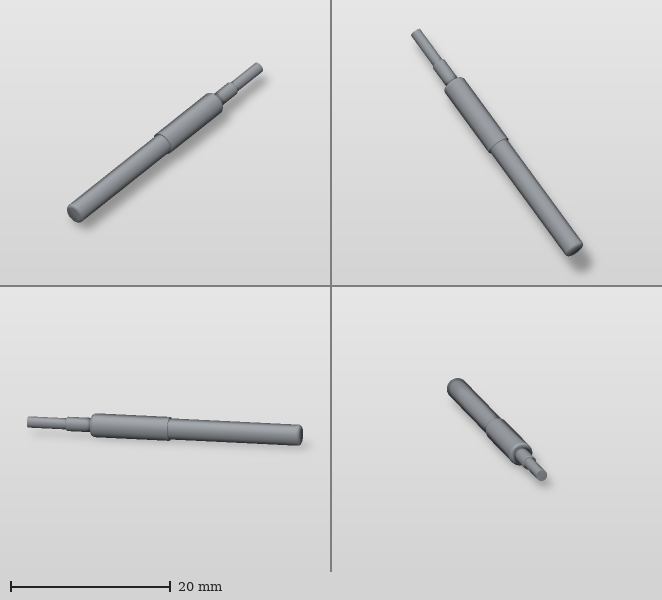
import cadquery as cq

total_length = 35.3

wire_diameter = 1.4
sleeve_diameter = 1.8
body_diameter = 3.0
shaft_diameter = 2.65

shaft_length = 16.98
body_length = 10.03
sleeve_length = 3.3
wire_length = total_length - shaft_length - body_length - sleeve_length

tip_radius = 0.4
body_bevel_length = 0.32
body_bevel_depth = 0.2
sleeve_end_radius = 0.15


def section(diameter, length, start):
    """Round section running along +Y from start."""
    return (
        cq.Workplane("XZ", origin=(0, start, 0))
        .circle(diameter / 2)
        .extrude(-length)
    )


tip_y = -total_length / 2
body_y = tip_y + shaft_length
sleeve_y = body_y + body_length
wire_y = sleeve_y + sleeve_length

shaft = section(shaft_diameter, shaft_length, tip_y).faces("<Y").edges().fillet(tip_radius)
body = section(body_diameter, body_length, body_y)
body = body.faces(">Y").edges().chamfer(body_bevel_length, body_bevel_depth)
sleeve = section(sleeve_diameter, sleeve_length, sleeve_y).faces(">Y").edges().fillet(sleeve_end_radius)
wire = section(wire_diameter, wire_length, wire_y)

result = shaft.union(body).union(sleeve).union(wire)